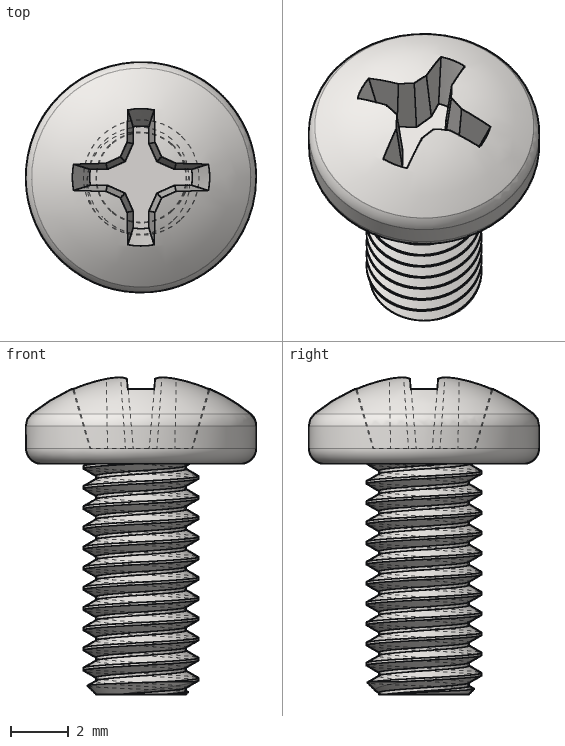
import cadquery as cq
import math


head_radius = 4.0
head_height = 3.1
dome_radius = 6.0
rim_fillet = 0.55
selection_margin = 0.01

thread_length = 8.0
pitch = 0.7
major_radius = 2.0
minor_radius = 1.57
flank_angle = 30.0
crest_flat = pitch / 8
thread_run_out = 2 * pitch
crest_height_at_x = -0.467
groove_overcut = 0.1
cutter_radius = major_radius + groove_overcut
point_radius = 1.55

recess_floor = 0.55
recess_draft = 5.0
wing_half_width = 0.275
wing_tip_radius = 1.78
wing_tip_angle = 16.3
core_corner = 0.55
core_facet_angle = 24.0
recess_top = head_height + 0.2
wing_reach = 2 * head_radius


def tangent(degrees):
    return math.tan(math.radians(degrees))


def make_head():
    """Cylinder capped by a spherical dome, with rounded rims."""
    blank = cq.Workplane("XY").circle(head_radius).extrude(head_height)
    ball = cq.Workplane("XY").sphere(dome_radius).translate((0, 0, head_height - dome_radius))
    head = blank.intersect(ball)
    head = head.faces("<Z").edges().fillet(rim_fillet)
    dome_edge_height = head_height - dome_radius + math.sqrt(dome_radius**2 - head_radius**2)
    dome_edge = cq.selectors.BoxSelector(
        (-2 * head_radius, -2 * head_radius, dome_edge_height - selection_margin),
        (2 * head_radius, 2 * head_radius, dome_edge_height + selection_margin),
        boundingbox=True,
    )
    return head.edges(dome_edge).fillet(rim_fillet)


def make_recess():
    """Drafted four-wing cross whose wing tips lie on a cone."""
    wing_start = core_corner + (core_corner - wing_half_width) / tangent(core_facet_angle)
    quarter = [
        (wing_reach, wing_half_width),
        (wing_start, wing_half_width),
        (core_corner, core_corner),
        (wing_half_width, wing_start),
        (wing_half_width, wing_reach),
    ]
    outline = []
    for turn in range(4):
        cosine = round(math.cos(turn * math.pi / 2))
        sine = round(math.sin(turn * math.pi / 2))
        outline += [(x * cosine - y * sine, x * sine + y * cosine) for x, y in quarter]

    depth = recess_top - recess_floor
    floor_plane = cq.Workplane("XY", origin=(0, 0, recess_floor))
    cross = floor_plane.polyline(outline).close().extrude(depth, taper=-recess_draft)
    tip_cone = floor_plane.circle(wing_tip_radius).extrude(depth, taper=-wing_tip_angle)
    return cross.intersect(tip_cone)


def make_groove():
    """Right-hand helical thread groove, longer than the shank at both ends."""
    flank_slope = tangent(flank_angle)
    crest_half_gap = (pitch - crest_flat) / 2
    root_half = crest_half_gap - (major_radius - minor_radius) * flank_slope
    mouth_half = crest_half_gap + groove_overcut * flank_slope

    turns_below = math.ceil((thread_length + thread_run_out) / pitch)
    start = crest_height_at_x + pitch / 2 - turns_below * pitch
    length = turns_below * pitch + thread_run_out
    helix = cq.Wire.makeHelix(pitch, length, minor_radius, center=cq.Vector(0, 0, start))
    profile = (
        cq.Workplane("XZ")
        .moveTo(minor_radius, start - root_half)
        .lineTo(cutter_radius, start - mouth_half)
        .lineTo(cutter_radius, start + mouth_half)
        .lineTo(minor_radius, start + root_half)
        .close()
    )
    return profile.sweep(cq.Workplane(obj=helix), isFrenet=True)


def make_shank():
    """Threaded shank with a 45 degree point chamfer."""
    rod_length = thread_length + 2 * thread_run_out
    rod = cq.Workplane("XY", origin=(0, 0, -thread_length - thread_run_out))
    rod = rod.circle(major_radius).extrude(rod_length)
    envelope = cq.Workplane("XY").circle(cutter_radius).extrude(-thread_length)
    envelope = envelope.faces("<Z").chamfer(cutter_radius - point_radius)
    return rod.cut(make_groove()).intersect(envelope)


result = make_head().union(make_shank()).cut(make_recess())